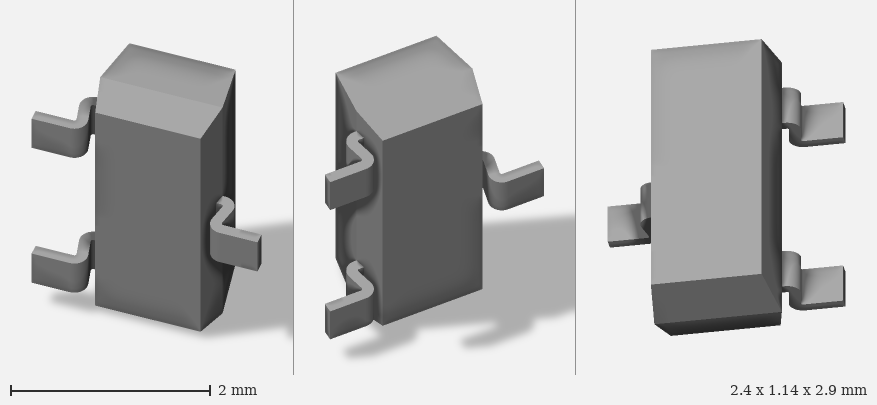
import cadquery as cq
import math


lead_span = 2.4
package_height = 1.14

housing_width = 1.3
housing_length = 2.9
standoff = 0.1
parting_height = 0.507
front_inset = 0.09
back_inset = 0.085

lead_thickness = 0.118
lead_width = 0.41
lead_pitch = 0.95
foot_length = 0.405
inner_radius = 0.022
outer_radius = inner_radius + lead_thickness
shoulder_reach = 0.168


def tapered_half(near_height, near_inset, far_height, far_inset):
    """Tapered block along Y between two rectangles inset from the parting outline."""
    return (
        cq.Workplane("XZ", origin=(0, near_height, 0))
        .rect(housing_width - 2 * near_inset, housing_length - 2 * near_inset)
        .workplane(offset=near_height - far_height)
        .rect(housing_width - 2 * far_inset, housing_length - 2 * far_inset)
        .loft(ruled=True)
    )


def make_housing():
    """Two drafted halves that meet at the widest outline, the parting plane."""
    front_half = tapered_half(standoff, front_inset, parting_height, 0)
    back_half = tapered_half(parting_height, 0, package_height, back_inset)
    return front_half.union(back_half)


def point_on_bend(center, radius, degrees):
    angle = math.radians(degrees)
    return (center[0] + radius * math.cos(angle), center[1] + radius * math.sin(angle))


def make_left_lead(center_z):
    """S-bent strip on the -X side, ending flush on the housing's drafted front half."""
    foot_tip = -lead_span / 2
    lower_bend = (foot_tip + foot_length, outer_radius)
    upper_bend = (
        -housing_width / 2 - shoulder_reach + outer_radius,
        parting_height - outer_radius,
    )

    rise_x = upper_bend[0] - lower_bend[0]
    rise_y = upper_bend[1] - lower_bend[1]
    crossing_angle = math.asin((inner_radius + outer_radius) / math.hypot(rise_x, rise_y))
    lean = math.degrees(crossing_angle - math.atan2(rise_x, rise_y))
    lower_middle = (lean - 90) / 2
    upper_start = 180 + lean
    upper_middle = (upper_start + 90) / 2

    shoulder_underside = parting_height - lead_thickness
    draft_slope = front_inset / (parting_height - standoff)
    top_end = (-housing_width / 2, parting_height)
    underside_end = (top_end[0] + draft_slope * lead_thickness, shoulder_underside)

    profile = (
        cq.Workplane("XY", origin=(0, 0, center_z - lead_width / 2))
        .moveTo(foot_tip, 0)
        .lineTo(lower_bend[0], 0)
        .threePointArc(
            point_on_bend(lower_bend, outer_radius, lower_middle),
            point_on_bend(lower_bend, outer_radius, lean),
        )
        .lineTo(*point_on_bend(upper_bend, inner_radius, upper_start))
        .threePointArc(
            point_on_bend(upper_bend, inner_radius, upper_middle),
            point_on_bend(upper_bend, inner_radius, 90),
        )
        .lineTo(*underside_end)
        .lineTo(*top_end)
        .lineTo(*point_on_bend(upper_bend, outer_radius, 90))
        .threePointArc(
            point_on_bend(upper_bend, outer_radius, upper_middle),
            point_on_bend(upper_bend, outer_radius, upper_start),
        )
        .lineTo(*point_on_bend(lower_bend, inner_radius, lean))
        .threePointArc(
            point_on_bend(lower_bend, inner_radius, lower_middle),
            point_on_bend(lower_bend, inner_radius, -90),
        )
        .lineTo(foot_tip, lead_thickness)
        .close()
    )
    return profile.extrude(lead_width)


housing = make_housing()
left_leads = [make_left_lead(side * lead_pitch) for side in (-1, 1)]
right_lead = make_left_lead(0).mirror("YZ")
leads = left_leads + [right_lead]

result = cq.Compound.makeCompound([housing.val(), *[lead.val() for lead in leads]])